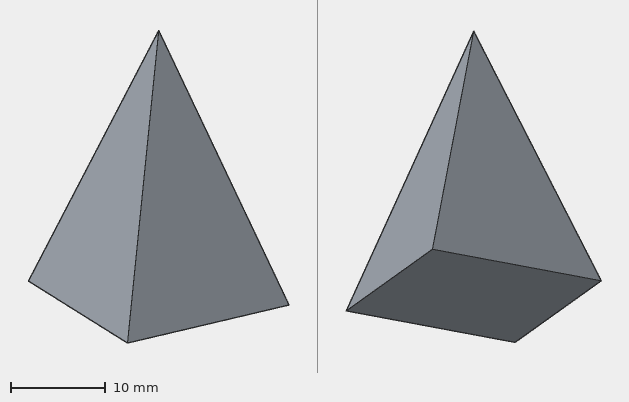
import cadquery as cq

height = 30
base_side = height * 2 / 3

half_side = base_side / 2
apex = (0, 0, height)
base_corners = [
    (-half_side, -half_side, 0),
    (half_side, -half_side, 0),
    (half_side, half_side, 0),
    (-half_side, half_side, 0),
]


def flat_face(corners):
    """Planar face bounded by straight edges through the given corners."""
    outline = cq.Wire.makePolygon([cq.Vector(*corner) for corner in corners], close=True)
    return cq.Face.makeFromWires(outline)


faces = [flat_face(base_corners[::-1])]
for index, corner in enumerate(base_corners):
    next_corner = base_corners[(index + 1) % len(base_corners)]
    faces.append(flat_face([corner, next_corner, apex]))

pyramid = cq.Solid.makeSolid(cq.Shell.makeShell(faces))
result = cq.Workplane("XY").newObject([pyramid])